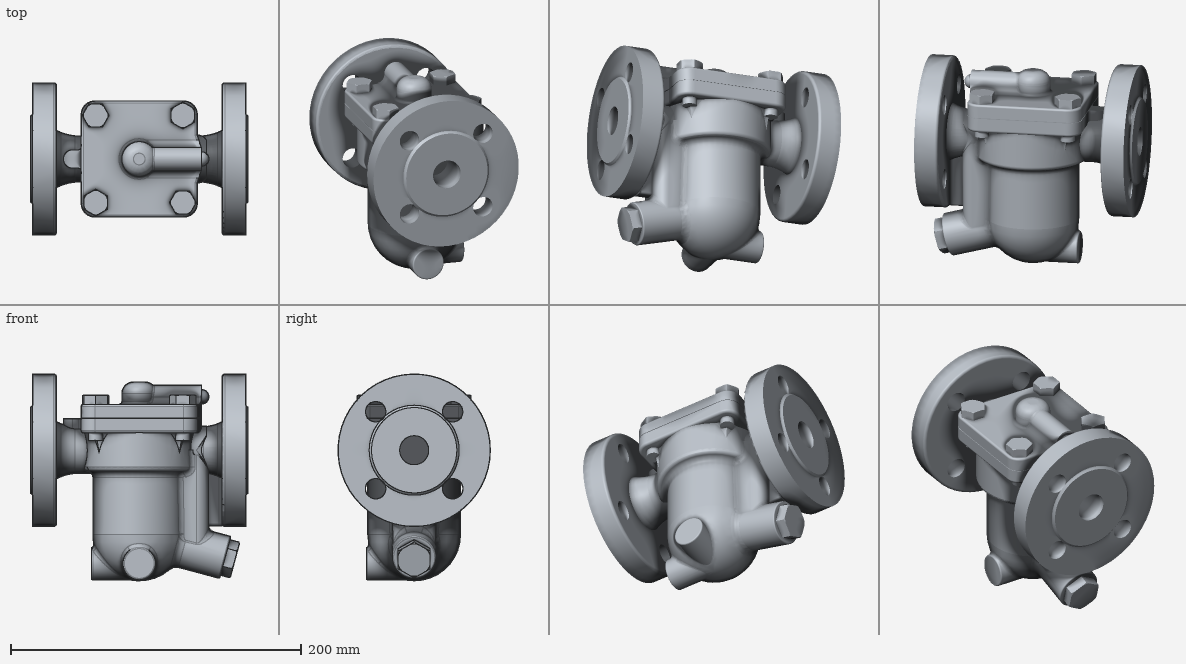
import cadquery as cq
import math

face_to_face = 150.0
flange_diameter = 105.0
flange_thickness = 16.4
flange_edge_fillet = 2.0
raised_face_height = 1.6
raised_face_radius = 29.4
bore_diameter = 20.0
bore_depth = 30.0
flange_hole_diameter = 14.0
flange_hole_circle = 75.0
neck_radius = 16.0
neck_straight_end = 44.2
neck_flare_end = 54.0
neck_flare_radius = 18.3
neck_root_radius = 19.7

barrel_radius = 32.0
bowl_radius = barrel_radius
total_height = 142.46
upper_barrel_radius = 39.2
shoulder_top_z = -11.5
shoulder_lower_round = 4.2

plate_size = 80.0
plate_corner_radius = 9.5
plate_bottom_z = 11.7
joint_z = 22.1
cover_top_z = 31.6
cover_edge_fillet = 1.5
body_edge_fillet = 2.0
gasket_thickness = 0.5
gasket_inset = 0.4
bulge_reach = 43.0
bulge_tip_half_width = 7.0
bulge_root_half_width = 16.5

bolt_offset = 30.0
bolt_diameter = 10.0
bolt_head_flats = 16.0
bolt_head_height = 6.3
bolt_end_z = 6.8
bolt_head_chamfer = 0.8
lug_tip_z = -1.8
lug_tip_half_width = 1.5
lug_top_half_width = 10.5
lug_base_radius = 37.8
lug_lean = 3.0

dome_radius = 12.0
dome_top_z = 47.0
dome_round = 8.0
dome_root_fillet = 2.0
arm_half_width = 8.0
arm_axis_z = 36.8
arm_root_fillet = 5.0
arm_to_dome_fillet = 2.0
ball_diameter = 10.0
ball_x = 43.0

tab_half_width = 6.35
tab_reach = 52.2
tab_root_fillet = 2.0

boss_diameter = 22.5
boss_reach = 33.0
boss_z = -78.0
boss_edge_fillet = 1.0
boss_root_fillet = 2.5

drain_tilt = 15.0
drain_diameter = 30.0
drain_length = 61.3
drain_rim_fillet = 0.8
drain_root_fillet = 6.5
plug_flats = 22.0
plug_end = 68.3
plug_chamfer = 1.2

riser_end = 47.8
riser_top_half_width = 16.5
riser_draft = 1.8
riser_corner_radius = 8.4
riser_root_fillet = 4.5
outlet_tube_radius = 16.7
outlet_tube_end = 46.2
rib_half_width = 4.0
rib_root_fillet = 2.0
rib_bottom_z = -52.2
rib_bottom_round = 1.5

flange_radius = flange_diameter / 2
flange_front = face_to_face / 2 - raised_face_height
flange_back = flange_front - flange_thickness
bowl_z = flange_radius - total_height + bowl_radius
drain_direction = cq.Vector(math.cos(math.radians(drain_tilt)), 0, -math.sin(math.radians(drain_tilt)))


def drain_plane(distance):
    """Plane square to the drain axis, at a distance from the bowl centre."""
    origin = cq.Vector(0, 0, bowl_z) + drain_direction * distance
    return cq.Plane(origin=origin, xDir=(0, 1, 0), normal=drain_direction)


def make_barrel():
    """Stepped barrel closed by a hemispherical bowl, with the inclined drain."""
    shoulder_upper_round = upper_barrel_radius - barrel_radius - shoulder_lower_round
    mid_radius = barrel_radius + shoulder_lower_round
    mid_z = shoulder_top_z - shoulder_upper_round
    bowl_mid = bowl_radius * math.sqrt(0.5)
    barrel = (
        cq.Workplane("XZ")
        .moveTo(0, joint_z)
        .lineTo(upper_barrel_radius, joint_z)
        .lineTo(upper_barrel_radius, shoulder_top_z)
        .radiusArc((mid_radius, mid_z), shoulder_upper_round)
        .radiusArc((barrel_radius, mid_z - shoulder_lower_round), -shoulder_lower_round)
        .lineTo(barrel_radius, bowl_z)
        .threePointArc((bowl_mid, bowl_z - bowl_mid), (0, bowl_z - bowl_radius))
        .close()
        .revolve(360, (0, 0), (0, 1))
        .rotate((0, 0, 0), (0, 0, 1), 180)
    )
    drain = (
        cq.Workplane(drain_plane(0))
        .circle(drain_diameter / 2)
        .extrude(drain_length)
        .faces(cq.selectors.DirectionMinMaxSelector(drain_direction, True))
        .edges()
        .fillet(drain_rim_fillet)
    )
    root = cq.selectors.BoxSelector((20, -20, -90), (35, 20, -40))
    return barrel.union(drain).edges(root).fillet(drain_root_fillet)


def make_drain_plug():
    """Hexagonal plug with a turned chamfer on its outer corners."""
    corner_diameter = plug_flats / math.cos(math.radians(30))
    length = plug_end - drain_length
    plug = (
        cq.Workplane(drain_plane(drain_length))
        .transformed(rotate=(0, 0, 90))
        .polygon(6, corner_diameter)
        .extrude(length)
    )
    envelope = (
        cq.Workplane(drain_plane(drain_length))
        .circle(corner_diameter / 2)
        .extrude(length)
        .faces(cq.selectors.DirectionMinMaxSelector(drain_direction, True))
        .chamfer(plug_chamfer / 2, plug_chamfer)
    )
    return plug.intersect(envelope)


def make_riser():
    """Drafted riser on the barrel side, standing on the drain axis plane."""
    height = drain_length * math.sin(math.radians(drain_tilt)) - bowl_z
    bottom_half_width = riser_top_half_width - height * math.tan(math.radians(riser_draft))
    riser = (
        cq.Workplane("YZ")
        .polyline([
            (-riser_top_half_width, 0),
            (riser_top_half_width, 0),
            (bottom_half_width, -height),
            (-bottom_half_width, -height),
        ])
        .close()
        .extrude(riser_end)
        .edges(">X and (not |Y)")
        .fillet(riser_corner_radius)
    )
    span = 4 * riser_end
    above_drain = (
        cq.Workplane("XY")
        .box(span, span, span, centered=(True, True, False))
        .rotate((0, 0, 0), (0, 1, 0), drain_tilt)
        .translate((0, 0, bowl_z))
    )
    return riser.intersect(above_drain)


def make_rib():
    """Rib joining the riser to the back of the outlet flange."""
    root_x = flange_back - rib_root_fillet
    root_half_width = rib_half_width + rib_root_fillet
    return (
        cq.Workplane("XY", origin=(0, 0, rib_bottom_z))
        .moveTo(0, -rib_half_width)
        .lineTo(root_x, -rib_half_width)
        .radiusArc((flange_back, -root_half_width), rib_root_fillet)
        .lineTo(flange_back, root_half_width)
        .radiusArc((root_x, rib_half_width), rib_root_fillet)
        .lineTo(0, rib_half_width)
        .close()
        .extrude(-rib_bottom_z)
        .edges("<Z and |X")
        .fillet(rib_bottom_round)
    )


def make_outlet_tube():
    """Horizontal round shoulder at the outlet neck, its end rounded like the riser."""
    tube = cq.Workplane("YZ").circle(outlet_tube_radius).extrude(outlet_tube_end)
    envelope = (
        cq.Workplane("XY", origin=(0, 0, -outlet_tube_radius))
        .rect(2 * riser_end, 2 * outlet_tube_radius)
        .extrude(2 * outlet_tube_radius)
        .edges("|Z and >X")
        .fillet(riser_corner_radius)
    )
    return tube.intersect(envelope)


def make_boss(plane):
    """Round boss on the bowl, reaching out along the plane normal."""
    return (
        cq.Workplane(plane)
        .circle(boss_diameter / 2)
        .extrude(boss_reach)
        .faces(cq.selectors.DirectionMinMaxSelector(plane.zDir, True))
        .edges()
        .fillet(boss_edge_fillet)
    )


def make_flanged_neck():
    """Neck and flange of the +X end as one turned piece with bolt holes."""
    raised_root_radius = raised_face_radius + raised_face_height
    flare_mid_x = (neck_straight_end + neck_flare_end) / 2
    flare_sag = 0.35
    flare_mid_radius = (neck_radius + neck_flare_radius) / 2 - flare_sag
    neck = (
        cq.Workplane("XY")
        .lineTo(0, neck_radius)
        .lineTo(neck_straight_end, neck_radius)
        .threePointArc((flare_mid_x, flare_mid_radius), (neck_flare_end, neck_flare_radius))
        .lineTo(flange_back, neck_root_radius)
        .lineTo(flange_back, flange_radius - flange_edge_fillet)
        .radiusArc((flange_back + flange_edge_fillet, flange_radius), flange_edge_fillet)
        .lineTo(flange_front, flange_radius)
        .lineTo(flange_front, raised_root_radius)
        .lineTo(face_to_face / 2, raised_face_radius)
        .lineTo(face_to_face / 2, 0)
        .close()
        .revolve(360, (0, 0), (1, 0))
    )
    holes = (
        cq.Workplane("YZ", origin=(flange_back, 0, 0))
        .polarArray(flange_hole_circle / 2, 45, 360, 4)
        .circle(flange_hole_diameter / 2)
        .extrude(flange_thickness)
    )
    return neck.cut(holes)


def make_plate(bottom_z, top_z):
    """Square plate with rounded corners and a tapered bulge on its +X side."""
    height = top_z - bottom_z
    half = plate_size / 2
    square = (
        cq.Workplane("XY", origin=(0, 0, bottom_z))
        .rect(plate_size, plate_size)
        .extrude(height)
        .edges("|Z")
        .fillet(plate_corner_radius)
    )
    bulge = (
        cq.Workplane("XY", origin=(0, 0, bottom_z))
        .polyline([
            (0, -bulge_root_half_width),
            (half, -bulge_root_half_width),
            (bulge_reach, -bulge_tip_half_width),
            (bulge_reach, bulge_tip_half_width),
            (half, bulge_root_half_width),
            (0, bulge_root_half_width),
        ])
        .close()
        .extrude(height)
    )
    return square.union(bulge)


def make_plates():
    """Body flange and cover, parted by a slightly recessed gasket."""
    body_flange = make_plate(plate_bottom_z, joint_z - gasket_thickness / 2)
    body_flange = body_flange.faces("<Z").edges().fillet(body_edge_fillet)
    cover = make_plate(joint_z + gasket_thickness / 2, cover_top_z)
    cover = cover.faces(">Z").edges().fillet(cover_edge_fillet)
    gasket_size = plate_size - 2 * gasket_inset
    gasket = (
        cq.Workplane("XY", origin=(0, 0, joint_z - gasket_thickness / 2))
        .rect(gasket_size, gasket_size)
        .extrude(gasket_thickness)
        .edges("|Z")
        .fillet(plate_corner_radius - gasket_inset)
    )
    return body_flange.union(gasket).union(cover)


def make_dome():
    """Dome at the cover centre, flaring out where it meets the cover."""
    base_radius = dome_radius + dome_root_fillet
    round_mid = dome_round * math.sqrt(0.5)
    crown_radius = dome_radius - dome_round
    round_z = dome_top_z - dome_round
    return (
        cq.Workplane("XZ")
        .moveTo(0, joint_z + gasket_thickness)
        .lineTo(dome_radius, joint_z + gasket_thickness)
        .lineTo(dome_radius, cover_top_z)
        .lineTo(base_radius, cover_top_z)
        .radiusArc((dome_radius, cover_top_z + dome_root_fillet), dome_root_fillet)
        .lineTo(dome_radius, round_z)
        .threePointArc((crown_radius + round_mid, round_z + round_mid), (crown_radius, dome_top_z))
        .lineTo(0, dome_top_z)
        .close()
        .revolve(360, (0, 0), (0, 1))
    )


def make_arm():
    """Round-topped arm from the dome to the bulge, ending in a ball."""
    root_half_width = arm_half_width + arm_root_fillet
    root_top_z = cover_top_z + arm_root_fillet
    section = (
        cq.Workplane("YZ")
        .moveTo(-root_half_width, cover_top_z)
        .radiusArc((-arm_half_width, root_top_z), -arm_root_fillet)
        .lineTo(-arm_half_width, arm_axis_z)
        .threePointArc((0, arm_axis_z + arm_half_width), (arm_half_width, arm_axis_z))
        .lineTo(arm_half_width, root_top_z)
        .radiusArc((root_half_width, cover_top_z), -arm_root_fillet)
        .lineTo(root_half_width, cover_top_z - cover_edge_fillet)
        .lineTo(-root_half_width, cover_top_z - cover_edge_fillet)
        .close()
    )
    arm = section.extrude(bulge_reach)
    trim = make_plate(plate_bottom_z, dome_top_z)
    ball = cq.Workplane("XY", origin=(ball_x, 0, arm_axis_z)).sphere(ball_diameter / 2)
    return arm.intersect(trim).union(ball)


def make_bolt(x, y, turn):
    """Hexagon-head bolt through the plates, its end showing beneath them."""
    corner_diameter = bolt_head_flats / math.cos(math.radians(30))
    shank = (
        cq.Workplane("XY", origin=(x, y, bolt_end_z))
        .circle(bolt_diameter / 2)
        .extrude(cover_top_z - bolt_end_z)
    )
    base = cq.Workplane("XY", origin=(x, y, cover_top_z))
    hexagon = base.transformed(rotate=(0, 0, turn)).polygon(6, corner_diameter).extrude(bolt_head_height)
    envelope = (
        base.circle(corner_diameter / 2)
        .extrude(bolt_head_height)
        .faces(">Z")
        .chamfer(bolt_head_chamfer / 2, bolt_head_chamfer)
    )
    return shank.union(hexagon.intersect(envelope))


def make_lug(angle):
    """Wedge-shaped lug under a plate corner, tapering down to a point on the barrel."""

    def wedge(half_width, ridge_radius):
        return [(lug_base_radius, -half_width), (ridge_radius, 0), (lug_base_radius, half_width)]

    height = plate_bottom_z + body_edge_fillet - lug_tip_z
    return (
        cq.Workplane("XY", origin=(0, 0, lug_tip_z))
        .polyline(wedge(lug_tip_half_width, upper_barrel_radius))
        .close()
        .workplane(offset=height)
        .polyline(wedge(lug_top_half_width, upper_barrel_radius + lug_lean))
        .close()
        .loft(ruled=True)
        .rotate((0, 0, 0), (0, 0, 1), angle)
    )


def make_tab():
    """Round-ended tab standing on the inlet neck, level with the joint."""
    straight = tab_reach - tab_half_width
    plate_edge = plate_size / 2
    root_start = plate_edge + tab_root_fillet
    root_half_width = tab_half_width + tab_root_fillet
    return (
        cq.Workplane("XY")
        .moveTo(-plate_edge, root_half_width)
        .radiusArc((-root_start, tab_half_width), tab_root_fillet)
        .lineTo(-straight, tab_half_width)
        .threePointArc((-tab_reach, 0), (-straight, -tab_half_width))
        .lineTo(-root_start, -tab_half_width)
        .radiusArc((-plate_edge, -root_half_width), tab_root_fillet)
        .lineTo(0, -root_half_width)
        .lineTo(0, root_half_width)
        .close()
        .extrude(joint_z - gasket_thickness / 2)
    )


riser_root = cq.selectors.BoxSelector((22, -25, -50), (38, 25, -30))
body = make_barrel().union(make_riser()).edges(riser_root).fillet(riser_root_fillet)

front_boss_plane = cq.Plane(origin=(0, 0, boss_z), xDir=(1, 0, 0), normal=(0, -1, 0))
front_boss_root = cq.selectors.BoxSelector((-15, -31, -92), (15, -5, -60))
body = body.union(make_boss(front_boss_plane)).edges(front_boss_root).fillet(boss_root_fillet)

inlet_boss_plane = cq.Plane(origin=(0, 0, boss_z), xDir=(0, 1, 0), normal=(-1, 0, 0))
inlet_boss_root = cq.selectors.BoxSelector((-31, -15, -92), (-5, 15, -60))
body = body.union(make_boss(inlet_boss_plane)).edges(inlet_boss_root).fillet(boss_root_fillet)

body = body.union(make_drain_plug())
body = body.union(make_outlet_tube())

outlet = make_flanged_neck()
inlet = outlet.mirror("YZ")
body = body.union(outlet).union(inlet)
body = body.union(make_rib()).union(make_tab())

for corner_angle in (45, 135, 225, 315):
    body = body.union(make_lug(corner_angle))

dome_side = cq.selectors.BoxSelector((5, -15, cover_top_z), (12, 15, dome_top_z - 2.1))
dome_and_arm = make_dome().union(make_arm()).edges(dome_side).fillet(arm_to_dome_fillet)
body = body.union(make_plates()).union(dome_and_arm)

for side_x in (-1, 1):
    for side_y in (-1, 1):
        head_turn = 30 if side_x == side_y else 0
        body = body.union(make_bolt(side_x * bolt_offset, side_y * bolt_offset, head_turn))

for side_x in (-1, 1):
    bore = cq.Workplane("YZ", origin=(side_x * face_to_face / 2, 0, 0))
    body = body.cut(bore.circle(bore_diameter / 2).extrude(-side_x * bore_depth))

result = body